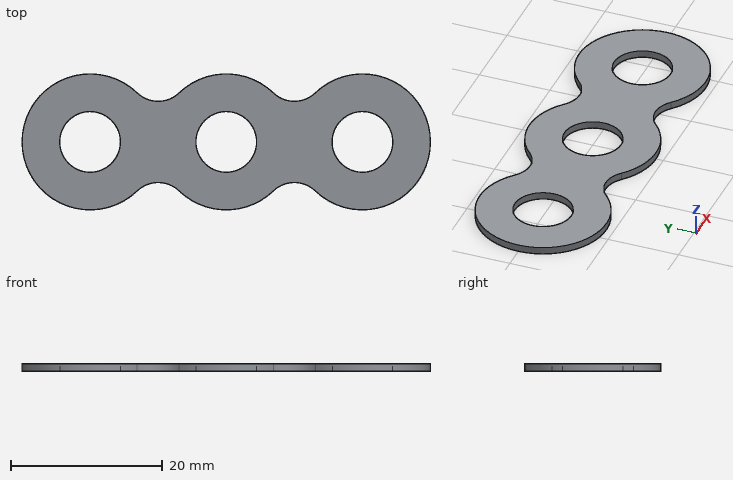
import cadquery as cq
import math

length = 53.95
thickness = 1.0
disc_count = 3
hole_diameter = 8.0
neck_radius = 4.0

pitch = length / disc_count
disc_radius = pitch / 2
disc_centers = [(i - (disc_count - 1) / 2) * pitch for i in range(disc_count)]

center_distance = disc_radius + neck_radius
neck_center_y = math.sqrt(center_distance**2 - disc_radius**2)
neck_half_width = neck_center_y - neck_radius
tangent_x = disc_radius * disc_radius / center_distance
tangent_y = neck_center_y * disc_radius / center_distance


def scalloped_edge(outline, centers, side):
    """Trace discs and necks along the edge on one side, heading +X for side=1 and -X for side=-1."""
    for i, x in enumerate(centers):
        if i > 0:
            neck_x = x - side * disc_radius
            outline = outline.threePointArc(
                (neck_x, side * neck_half_width), (x - side * tangent_x, side * tangent_y)
            )
        is_last = i == len(centers) - 1
        end = (x + side * disc_radius, 0) if is_last else (x + side * tangent_x, side * tangent_y)
        outline = outline.threePointArc((x, side * disc_radius), end)
    return outline


outline = cq.Workplane("XY").moveTo(-length / 2, 0)
outline = scalloped_edge(outline, disc_centers, 1)
outline = scalloped_edge(outline, disc_centers[::-1], -1)
plate = outline.close().extrude(thickness)

holes = (
    cq.Workplane("XY")
    .pushPoints([(x, 0) for x in disc_centers])
    .circle(hole_diameter / 2)
    .extrude(thickness)
)

result = plate.cut(holes)